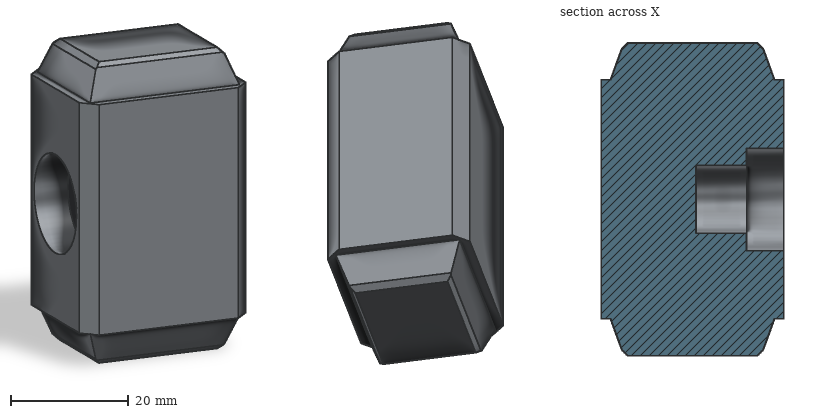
import cadquery as cq
import math

width = 24.89
depth = 31.24
total_height = 53.47
body_height = 40.89
corner_chamfer = 2.54

shoulder = 1.6
taper_angle = 20.0
side_bevel = 0.76
front_bevel = 1.02

counterbore_diameter = 17.46
counterbore_depth = 6.35
hole_diameter = 11.51
hole_depth = 15.0

cap_height = (total_height - body_height) / 2


def make_body():
    """Rectangular block, centred on the origin, with chamfered upright edges."""
    return cq.Workplane("XY").box(width, depth, body_height).edges("|Z").chamfer(corner_chamfer)


def cap_prism(plane, block_size, bevel, length):
    """Prism with the cap's profile: tapered sides, then a 45 degree bevel up to a flat top."""
    taper_height = cap_height - bevel
    base_half = block_size / 2 - shoulder
    bevel_half = base_half - taper_height * math.tan(math.radians(taper_angle))
    top_half = bevel_half - bevel
    base_z = body_height / 2
    bevel_z = base_z + taper_height
    top_z = base_z + cap_height
    profile = [
        (-base_half, base_z),
        (base_half, base_z),
        (bevel_half, bevel_z),
        (top_half, top_z),
        (-top_half, top_z),
        (-bevel_half, bevel_z),
    ]
    return cq.Workplane(plane).polyline(profile).close().extrude(length / 2, both=True)


def make_upper_cap():
    """Cap tapered on all four sides, where an X-profile prism and a Y-profile prism overlap."""
    x_prism = cap_prism("XZ", width, side_bevel, depth)
    y_prism = cap_prism("YZ", depth, front_bevel, width)
    return x_prism.intersect(y_prism)


def front_bore(diameter, bore_depth):
    """Cylinder running in from the -Y face along +Y."""
    front_plane = cq.Workplane("XZ", origin=(0, -depth / 2, 0))
    return front_plane.circle(diameter / 2).extrude(-bore_depth)


upper_cap = make_upper_cap()
lower_cap = upper_cap.mirror("XY")

result = (
    make_body()
    .union(upper_cap)
    .union(lower_cap)
    .cut(front_bore(counterbore_diameter, counterbore_depth))
    .cut(front_bore(hole_diameter, hole_depth))
)